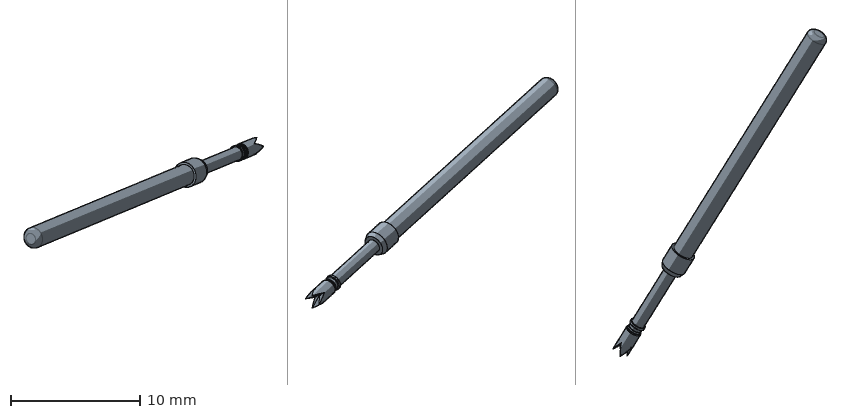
import cadquery as cq
import math

total_length = 32.3
tip_y = total_length / 2

collar_diameter = 2.0
barrel_diameter = 1.65
plunger_diameter = 1.05
head_diameter = 1.25
neck_diameter = 1.1
groove_diameter = 1.0

head_end = 2.3
groove_start = 2.45
ring_start = 2.75
ring_end = 2.95
collar_start = 8.33
collar_end = 10.25

head_taper_length = 0.1
head_taper_depth = 0.03
collar_chamfer_length = 0.4
collar_chamfer_depth = 0.15
barrel_end_radius = 0.4
crown_depth = 1.03
groove_angles = (45, 135)


def cylinder(diameter, start, end):
    """Solid cylinder on the Y axis between two distances behind the tip."""
    return (
        cq.Workplane("XZ", origin=(0, tip_y - start, 0))
        .circle(diameter / 2)
        .extrude(end - start)
    )


def make_barrel():
    barrel = cylinder(barrel_diameter, collar_start, total_length)
    return barrel.faces("<Y").edges().fillet(barrel_end_radius)


def make_collar():
    collar = cylinder(collar_diameter, collar_start, collar_end)
    return collar.faces(">Y").edges().chamfer(collar_chamfer_length, collar_chamfer_depth)


def crown_cutter(angle):
    """V-shaped prism across the tip; the V runs out at the tooth points."""
    half_width = head_diameter / 2 * math.sin(math.radians(groove_angles[0]))
    return (
        cq.Workplane("XY")
        .moveTo(-half_width, tip_y)
        .lineTo(0, tip_y - crown_depth)
        .lineTo(half_width, tip_y)
        .close()
        .extrude(head_diameter, both=True)
        .rotate((0, 0, 0), (0, 1, 0), angle)
    )


def make_head():
    head = cylinder(head_diameter, 0, head_end)
    head = head.faces("<Y").edges().chamfer(head_taper_length, head_taper_depth)
    for angle in groove_angles:
        head = head.cut(crown_cutter(angle))
    return head


def make_plunger():
    neck = cylinder(neck_diameter, head_end, groove_start)
    groove = cylinder(groove_diameter, groove_start, ring_start)
    ring = cylinder(head_diameter, ring_start, ring_end)
    shaft = cylinder(plunger_diameter, ring_end, collar_start)
    return make_head().union(neck).union(groove).union(ring).union(shaft)


result = make_barrel().union(make_collar()).union(make_plunger())